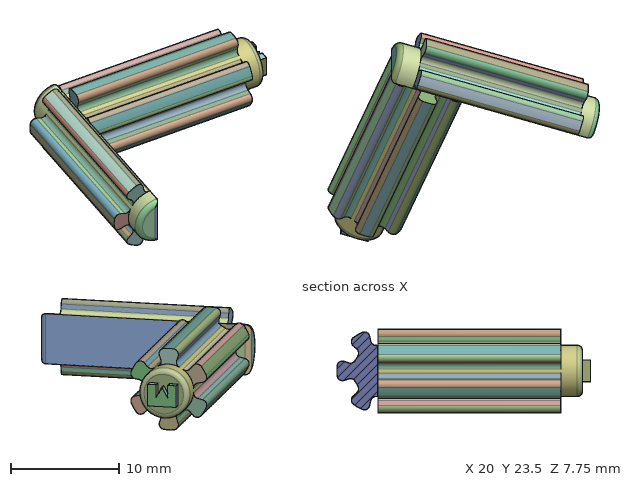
import cadquery as cq
import math

TIP_RADIUS = 3.875
CORE_RADIUS = 2.38
TOOTH_COUNT = 6
TOOTH_ROOT_HALF_WIDTH = 0.63
TOOTH_FLARE_DEG = 17.7
TOOTH_TIP_FILLET = 0.5
TOOTH_ROOT_FILLET = 0.5
END_FILLET = 0.5

LONG_TEETH_LENGTH = 16.92
LONG_NECK_LENGTH = 2.0

CROSS_LENGTH = 19.95
CROSS_START_X = -3.73
CROSS_TEETH_START_X = -1.5
CROSS_TEETH_LENGTH = 15.93
CROSS_AXIS_Y = 0.075

KEY_WIDTH = 2.7
KEY_HEIGHT = 2.05
KEY_THICKNESS = 0.75
KEY_NOTCH_WIDTH = 1.1
KEY_NOTCH_DEPTH = 1.2
KEY_PEAK_DROP = 0.2


def tooth(length):
    """One flared tooth pointing along local +X, extruded along local Z."""
    flare = math.tan(math.radians(TOOTH_FLARE_DEG))
    inner_half_width = TOOTH_ROOT_HALF_WIDTH - CORE_RADIUS * flare / 2
    outer_half_width = TOOTH_ROOT_HALF_WIDTH + CORE_RADIUS * flare
    outline = [
        (CORE_RADIUS / 2, -inner_half_width),
        (2 * CORE_RADIUS, -outer_half_width),
        (2 * CORE_RADIUS, outer_half_width),
        (CORE_RADIUS / 2, inner_half_width),
    ]
    blank = cq.Workplane("XY").polyline(outline).close().extrude(length)
    return blank.intersect(cq.Workplane("XY").circle(TIP_RADIUS).extrude(length))


def axial_edges_at(body, radius):
    """Straight edges parallel to local Z that lie at the given distance from it."""
    tolerance = 0.01
    return [
        edge
        for edge in body.edges("|Z").vals()
        if abs(math.hypot(edge.Center().x, edge.Center().y) - radius) < tolerance
    ]


def fluted_roll(length):
    """Core with teeth around local Z; one tooth points along local +X."""
    roll = cq.Workplane("XY").circle(CORE_RADIUS).extrude(length)
    for i in range(TOOTH_COUNT):
        turned = tooth(length).rotate((0, 0, 0), (0, 0, 1), i * 360 / TOOTH_COUNT)
        roll = roll.union(turned)

    tip_corners = axial_edges_at(roll, TIP_RADIUS)
    roll = roll.newObject(tip_corners).fillet(TOOTH_TIP_FILLET)
    root_corners = axial_edges_at(roll, CORE_RADIUS)
    return roll.newObject(root_corners).fillet(TOOTH_ROOT_FILLET)


def long_arm():
    """Full roll with a round neck, running along +Y with a tooth straight up."""
    core_length = LONG_TEETH_LENGTH + LONG_NECK_LENGTH
    core = cq.Workplane("XY").circle(CORE_RADIUS).extrude(core_length)
    core = core.faces(">Z").edges().fillet(END_FILLET)
    arm = fluted_roll(LONG_TEETH_LENGTH).union(core)
    arm = arm.rotate((0, 0, 0), (0, 0, 1), -90)
    return arm.rotate((0, 0, 0), (1, 0, 0), -90)


def cross_arm():
    """Half roll along X: flat back at y = 0, one tooth pointing to -Y."""
    teeth = along_x(fluted_roll(CROSS_TEETH_LENGTH), CROSS_TEETH_START_X)
    core = along_x(cq.Workplane("XY").circle(CORE_RADIUS).extrude(CROSS_LENGTH), CROSS_START_X)
    front_half = (
        cq.Workplane("XY")
        .box(CROSS_LENGTH, 2 * TIP_RADIUS, 4 * TIP_RADIUS, centered=(False, False, True))
        .translate((CROSS_START_X, -2 * TIP_RADIUS, 0))
    )
    core = core.intersect(front_half).faces("<X or >X").edges().fillet(END_FILLET)
    return core.union(teeth.intersect(front_half))


def along_x(body, start_x):
    """Turn a body from local Z onto +X, with its local +X facing -Y."""
    turned = body.rotate((0, 0, 0), (0, 1, 0), 90).rotate((0, 0, 0), (1, 0, 0), -90)
    return turned.translate((start_x, CROSS_AXIS_Y, 0))


def end_key():
    """Raised key whose top notch holds a central pointed peak."""
    top = KEY_HEIGHT / 2
    half_width = KEY_WIDTH / 2
    half_notch = KEY_NOTCH_WIDTH / 2
    outline = [
        (-half_width, -top),
        (half_width, -top),
        (half_width, top),
        (half_notch, top),
        (half_notch, top - KEY_NOTCH_DEPTH),
        (0, top - KEY_PEAK_DROP),
        (-half_notch, top - KEY_NOTCH_DEPTH),
        (-half_notch, top),
        (-half_width, top),
    ]
    neck_end = LONG_TEETH_LENGTH + LONG_NECK_LENGTH
    key = cq.Workplane("XZ").polyline(outline).close().extrude(-KEY_THICKNESS)
    return key.translate((0, neck_end, 0))


result = cross_arm().union(long_arm()).union(end_key())